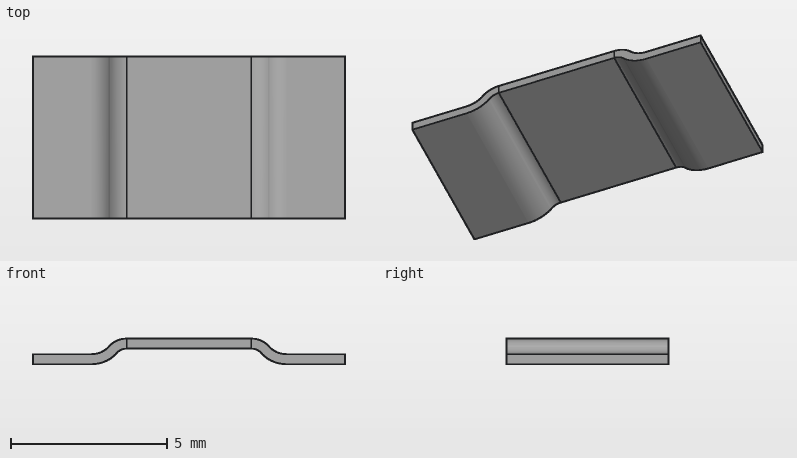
import cadquery as cq
import math

LENGTH = 10.0
WIDTH = 5.2
HEIGHT = 0.83
THICKNESS = 0.33
PLATE_LENGTH = 4.0

BEND_START = 3.12
BEND_RADIUS = 0.76
BEND_ANGLE = math.radians(45)

plate_half = PLATE_LENGTH / 2
rise = HEIGHT - THICKNESS
valley_bottom = BEND_RADIUS + THICKNESS
crest_bottom = BEND_RADIUS - THICKNESS


def make_center_plate():
    """Flat raised plate between the two feet."""
    return (
        cq.Workplane("XY")
        .box(PLATE_LENGTH, WIDTH, THICKNESS, centered=(True, True, False))
        .translate((0, 0, rise))
    )


def make_foot(side):
    """Flat foot with its S-bend; side is -1 for the -X end and 1 for the +X end."""

    def valley_point(radius, angle):
        """Point on the lower bend; the angle is measured from straight below its centre."""
        x = BEND_START - radius * math.sin(angle)
        z = THICKNESS + BEND_RADIUS - radius * math.cos(angle)
        return (side * x, z)

    def crest_point(radius, angle):
        """Point on the upper bend; the angle is measured from straight above its centre."""
        x = plate_half + radius * math.sin(angle)
        z = HEIGHT - BEND_RADIUS + radius * math.cos(angle)
        return (side * x, z)

    end_x = side * LENGTH / 2
    half_angle = BEND_ANGLE / 2
    return (
        cq.Workplane("XZ", origin=(0, WIDTH / 2, 0))
        .moveTo(end_x, 0)
        .lineTo(*valley_point(valley_bottom, 0))
        .threePointArc(valley_point(valley_bottom, half_angle), valley_point(valley_bottom, BEND_ANGLE))
        .lineTo(*crest_point(crest_bottom, BEND_ANGLE))
        .threePointArc(crest_point(crest_bottom, half_angle), crest_point(crest_bottom, 0))
        .lineTo(*crest_point(BEND_RADIUS, 0))
        .threePointArc(crest_point(BEND_RADIUS, half_angle), crest_point(BEND_RADIUS, BEND_ANGLE))
        .lineTo(*valley_point(BEND_RADIUS, BEND_ANGLE))
        .threePointArc(valley_point(BEND_RADIUS, half_angle), valley_point(BEND_RADIUS, 0))
        .lineTo(end_x, THICKNESS)
        .close()
        .extrude(WIDTH)
    )


center_plate = make_center_plate()
feet = [make_foot(side) for side in (-1, 1)]

result = cq.Compound.makeCompound([center_plate.val(), *[foot.val() for foot in feet]])